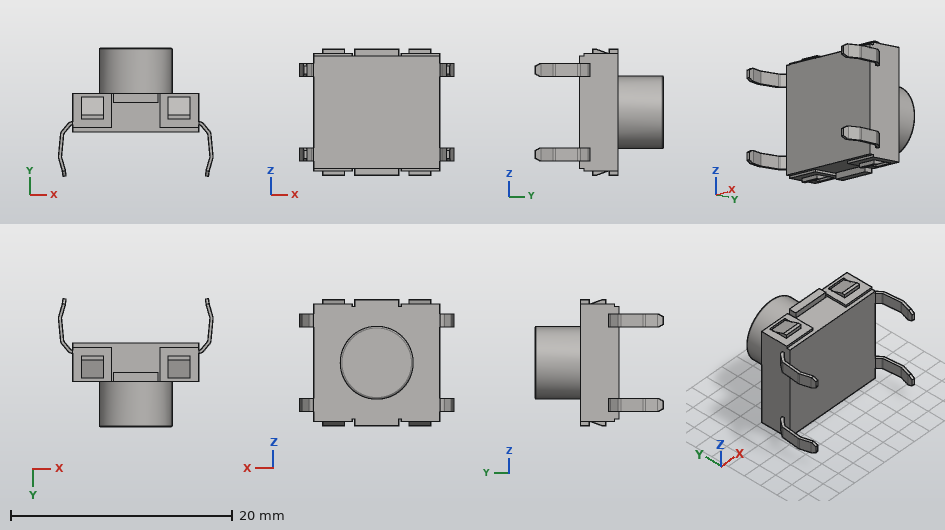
import cadquery as cq
import math


body_width = 11.4
body_height = 3.5
core_depth = 10.2
overall_depth = 11.4
depth_rise = (overall_depth - core_depth) / 2

button_diameter = 6.6
button_height = 4.1
button_edge_radius = 0.15

pad_width = 3.5
pad_height = 3.1
pad_thickness = 0.23

bar_width = 4.0
bar_height = 0.8

catch_size = 2.0
catch_center_x = 3.9
catch_top_gap = 0.3
catch_land = 0.35

leg_width = 1.2
leg_tip_width = 0.7
leg_taper_length = 0.46
leg_thickness = 0.3
leg_pitch = 7.62
leg_root_overlap = 0.2
leg_exit_height = 0.95
leg_length = 4.0
inner_bend_radius = 0.2
outer_bend_radius = inner_bend_radius + leg_thickness
leg_root = (body_width / 2 - leg_root_overlap, leg_exit_height)
leg_shoulder = (5.98, leg_exit_height)
leg_knee = (6.79, -0.03)
leg_bulge = (7.005, -2.27)
leg_ankle = (6.66, -3.45)
leg_tip = (6.58, -leg_length)


def box_between(x_range, y_range, z_range):
    """Axis-aligned box given the two limits on each axis."""
    return (
        cq.Workplane("XY")
        .box(
            x_range[1] - x_range[0],
            y_range[1] - y_range[0],
            z_range[1] - z_range[0],
            centered=False,
        )
        .translate((x_range[0], y_range[0], z_range[0]))
    )


def make_core():
    half_width = body_width / 2
    half_depth = core_depth / 2
    return box_between((-half_width, half_width), (0, body_height), (-half_depth, half_depth))


def make_button():
    """Round button on the top face with a small rounded rim."""
    return (
        cq.Workplane("XZ", origin=(0, body_height, 0))
        .circle(button_diameter / 2)
        .extrude(-button_height)
        .faces(">Y")
        .edges()
        .fillet(button_edge_radius)
    )


def make_pad():
    """Corner pad at +X, +Z with its open catch window."""
    right = body_width / 2
    window_top = body_height - catch_top_gap
    z_range = (core_depth / 2, core_depth / 2 + pad_thickness)
    pad = box_between((right - pad_width, right), (body_height - pad_height, body_height), z_range)
    window = box_between(
        (catch_center_x - catch_size / 2, catch_center_x + catch_size / 2),
        (window_top - catch_size, window_top),
        z_range,
    )
    return pad.cut(window)


def make_catch():
    """Ramp rising from the core surface at the window top to a flat land at its lower edge."""
    top = body_height - catch_top_gap
    bottom = top - catch_size
    base = core_depth / 2
    crest = overall_depth / 2
    return (
        cq.Workplane("YZ", origin=(catch_center_x - catch_size / 2, 0, 0))
        .polyline([(top, base), (bottom, base), (bottom, crest), (bottom + catch_land, crest)])
        .close()
        .extrude(catch_size)
    )


def make_bar():
    base = core_depth / 2
    return box_between(
        (-bar_width / 2, bar_width / 2),
        (body_height - bar_height, body_height),
        (base, base + depth_rise),
    )


def inset_path(points, distance):
    """Path parallel to an open polyline, lying to the right of its direction of travel."""
    normals = []
    for start, end in zip(points, points[1:]):
        dx = end[0] - start[0]
        dy = end[1] - start[1]
        length = math.hypot(dx, dy)
        normals.append((dy / length, -dx / length))

    inset = []
    for point, before, after in zip(points, normals[:1] + normals, normals + normals[-1:]):
        scale = distance / (1 + before[0] * after[0] + before[1] * after[1])
        inset.append((point[0] + scale * (before[0] + after[0]), point[1] + scale * (before[1] + after[1])))
    return inset


def make_leg():
    """Bent strip leg at +X, centred on Z = 0, narrowing towards the tip."""
    outer = [leg_root, leg_shoulder, leg_knee, leg_bulge, leg_ankle, leg_tip]
    inner = inset_path(outer, leg_thickness)
    leg = (
        cq.Workplane("XY")
        .polyline(outer + inner[::-1])
        .close()
        .extrude(leg_width / 2, both=True)
    )

    for corners, radius in ((outer, outer_bend_radius), (inner, inner_bend_radius)):
        for x, y in corners[1:4]:
            leg = leg.edges(cq.selectors.NearestToPointSelector((x, y, 0))).fillet(radius)

    taper_depth = (leg_width - leg_tip_width) / 2
    half = leg_width / 2
    tip_lean = math.degrees(math.atan2(leg_ankle[0] - leg_tip[0], leg_ankle[1] - leg_tip[1]))
    wedge = (
        cq.Workplane("YZ")
        .polyline([(0, half), (leg_taper_length, half), (0, half - taper_depth)])
        .close()
        .extrude(leg_thickness, both=True)
        .rotate((0, 0, 0), (0, 0, 1), -tip_lean)
        .translate((leg_tip[0], leg_tip[1], 0))
    )
    return leg.cut(wedge).cut(wedge.mirror("XY"))


def mirrored_in_x(shape):
    return shape.union(shape.mirror("YZ"))


def mirrored_in_z(shape):
    return shape.union(shape.mirror("XY"))


corner_details = mirrored_in_x(make_pad().union(make_catch()))
side_details = mirrored_in_z(corner_details.union(make_bar()))
legs = mirrored_in_z(mirrored_in_x(make_leg().translate((0, 0, leg_pitch / 2))))

result = make_core().union(make_button()).union(side_details).union(legs)